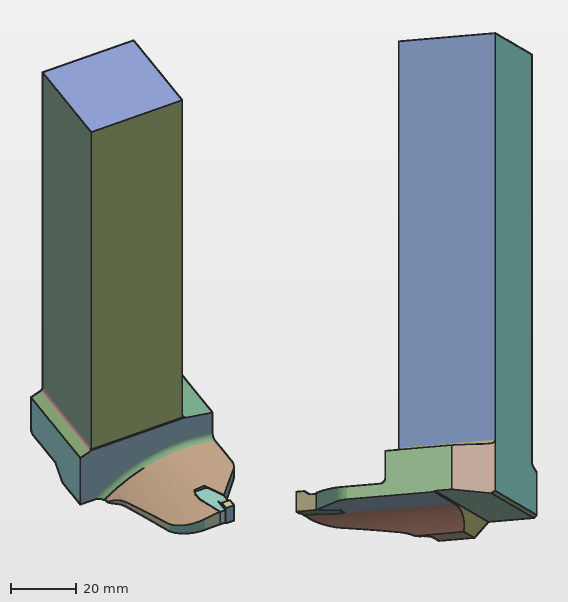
import cadquery as cq
import math

overall_height = 150.0
shank_size = 31.8
shank_front = 4.0
shank_back = shank_front + shank_size

head_width = 32.3
head_depth = 46.2
front_ledge_z = 19.0
back_ledge_z = 18.6
ledge_root_z = 20.5
ledge_fillet = 1.4
neck_top_z = ledge_root_z + 2 * ledge_fillet
corner_chamfer = head_depth - shank_back

step_height = 4.7
step_length = 15.9
step_edge_chamfer = 0.9

blade_tip_x = 65.1
blade_radius = 45.0
blade_top_z = 9.8
blade_crown_y = 35.3
underside_z = 4.4
underside_crown_y = 28.5
underside_drop = blade_radius - underside_z
underside_front_y = underside_crown_y - math.sqrt(blade_radius**2 - underside_drop**2)
root_fillet = 1.7
blade_front_y = 7.8
blade_foot_x = 35.4

foot_hollow_middle = (37.7, 9.9)
foot_hollow_end = (40.8, 11.4)
front_corner_start = (58.8, 16.7)
front_corner_middle = (63.3, 20.4)
front_corner_end = (blade_tip_x, 26.0)
seat_back_x = 59.0
back_corner_start = (48.5, 44.9)
back_corner_middle = (46.5, 45.9)
back_corner_end = (44.3, head_depth)

insert_tail_x = 52.2
insert_tip_x = 65.5
tail_front_y = 29.1
tail_back_y = 32.5
insert_flank_y = 28.5
insert_flank_start_x = 54.0
insert_flank_end_x = 56.7
insert_tip_front_y = 31.2
insert_back_y = 35.9
insert_top_z = 9.5
cutting_edge_z = 10.7
cutting_head_front_y = 33.0
ramp_start_x = 60.5
ramp_end_x = 62.9
ramp_sag = 0.3
tail_bevel_length = 0.9
tail_bevel_depth = 3.0


def crown_height(y):
    """Height of the upper blade face at the given Y."""
    drop = blade_radius - math.sqrt(blade_radius**2 - (y - blade_crown_y)**2)
    return blade_top_z - drop


def underside_height(y):
    """Height of the curved underside at the given Y."""
    drop = blade_radius - math.sqrt(blade_radius**2 - (y - underside_crown_y)**2)
    return underside_z - drop


def underside_outline():
    """YZ outline up to the rear end of the underside, shared by head and blade."""
    middle_y = (underside_front_y + underside_crown_y) / 2
    return (
        cq.Workplane("YZ")
        .moveTo(0, 0)
        .lineTo(underside_front_y, 0)
        .threePointArc((middle_y, underside_height(middle_y)), (underside_crown_y, underside_z))
        .lineTo(head_depth, underside_z)
    )


def make_shank():
    height = overall_height - step_height - step_edge_chamfer
    return cq.Workplane("XY").box(shank_size, shank_size, height, centered=False).translate(
        (0, shank_front, step_height + step_edge_chamfer)
    )


def make_head():
    head = (
        underside_outline()
        .lineTo(head_depth, back_ledge_z)
        .lineTo(shank_back, ledge_root_z)
        .lineTo(shank_back, neck_top_z)
        .lineTo(shank_front, neck_top_z)
        .lineTo(shank_front, ledge_root_z)
        .lineTo(0, front_ledge_z)
        .close()
        .extrude(head_width)
    )
    ledge_roots = cq.selectors.BoxSelector(
        (0, shank_front - ledge_fillet, ledge_root_z - ledge_fillet),
        (head_width, shank_back + ledge_fillet, ledge_root_z + ledge_fillet),
    )
    head = head.edges("|X").edges(ledge_roots).fillet(ledge_fillet)
    side_cut = cq.Workplane("XY").box(head_width, head_depth, overall_height, centered=False).translate(
        (shank_size, 0, ledge_root_z)
    )
    corner_cut = (
        cq.Workplane("XY")
        .polyline([(0, shank_back), (0, head_depth), (corner_chamfer, head_depth)])
        .close()
        .extrude(overall_height)
    )
    step_cut = (
        cq.Workplane("XZ")
        .polyline([
            (0, 0),
            (step_length + step_height, 0),
            (step_length, step_height),
            (step_edge_chamfer, step_height),
            (0, step_height + step_edge_chamfer),
        ])
        .close()
        .extrude(-head_depth)
    )
    return head.cut(side_cut).cut(corner_cut).cut(step_cut)


def make_blade():
    top_middle_y = (blade_front_y + head_depth) / 2
    section = (
        underside_outline()
        .lineTo(head_depth, crown_height(head_depth))
        .threePointArc(
            (top_middle_y, crown_height(top_middle_y)),
            (blade_front_y, crown_height(blade_front_y)),
        )
        .lineTo(blade_front_y, 0)
        .lineTo(0, 0)
    )
    plate = section.close().extrude(blade_tip_x)
    plan = (
        cq.Workplane("XY")
        .moveTo(head_width, blade_front_y)
        .lineTo(blade_foot_x, blade_front_y)
        .threePointArc(foot_hollow_middle, foot_hollow_end)
        .lineTo(*front_corner_start)
        .threePointArc(front_corner_middle, front_corner_end)
        .lineTo(blade_tip_x, insert_back_y)
        .lineTo(seat_back_x, insert_back_y)
        .lineTo(*back_corner_start)
        .threePointArc(back_corner_middle, back_corner_end)
        .lineTo(head_width, head_depth)
        .close()
        .extrude(cutting_edge_z)
    )
    return plate.intersect(plan)


def make_blade_root():
    """Hollow fillet between the upper blade face and the head side."""
    arc_offset = root_fillet * (1 - math.sqrt(0.5))
    axis_z = blade_top_z - blade_radius
    ring = (
        cq.Workplane("XY", origin=(head_width, blade_crown_y, axis_z))
        .moveTo(0, blade_radius - root_fillet)
        .lineTo(root_fillet, blade_radius - root_fillet)
        .lineTo(root_fillet, blade_radius)
        .threePointArc(
            (arc_offset, blade_radius + arc_offset),
            (0, blade_radius + root_fillet),
        )
        .close()
        .revolve(360, (0, 0, 0), (1, 0, 0))
    )
    limits = underside_outline().lineTo(head_depth, ledge_root_z).lineTo(0, ledge_root_z).close()
    return ring.intersect(limits.extrude(blade_tip_x))


def insert_plan():
    """Plan of the insert and its seat, up to the blade tip."""
    return (
        cq.Workplane("XY", origin=(0, 0, underside_z))
        .polyline([
            (insert_tail_x, tail_front_y),
            (insert_flank_start_x, insert_flank_y),
            (insert_flank_end_x, insert_flank_y),
            (blade_tip_x, insert_tip_front_y),
            (blade_tip_x, insert_back_y),
            (seat_back_x, insert_back_y),
            (insert_tail_x, tail_back_y),
        ])
        .close()
    )


def make_insert():
    insert = insert_plan().extrude(insert_top_z - underside_z)
    tail_bevel = (
        cq.Workplane("XZ")
        .polyline([
            (insert_tail_x, insert_top_z - tail_bevel_depth),
            (insert_tail_x + tail_bevel_length, insert_top_z),
            (insert_tail_x, insert_top_z),
        ])
        .close()
        .extrude(-head_depth)
    )
    cutting_head = (
        cq.Workplane("XZ", origin=(0, cutting_head_front_y, 0))
        .moveTo(ramp_start_x, underside_z)
        .lineTo(ramp_start_x, insert_top_z)
        .threePointArc(
            ((ramp_start_x + ramp_end_x) / 2, (insert_top_z + cutting_edge_z) / 2 - ramp_sag),
            (ramp_end_x, cutting_edge_z),
        )
        .lineTo(insert_tip_x, cutting_edge_z)
        .lineTo(insert_tip_x, underside_z)
        .close()
        .extrude(cutting_head_front_y - insert_back_y)
    )
    return insert.cut(tail_bevel).union(cutting_head)


insert_seat = insert_plan().extrude(blade_top_z)
holder = make_head().union(make_shank()).union(make_blade()).union(make_blade_root()).cut(insert_seat)
insert = make_insert()

result = cq.Compound.makeCompound([holder.val(), insert.val()])